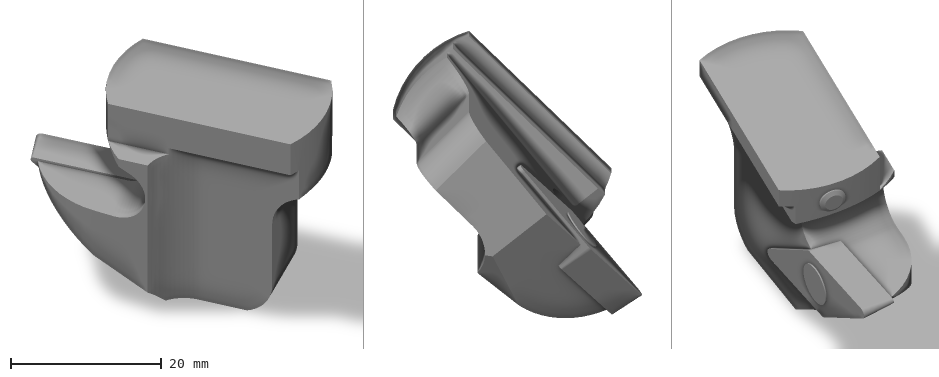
import cadquery as cq
import math

TILT = 6.5
REACH = 40.85

HEAD_RADIUS = 15.0
HEAD_BACK, HEAD_FRONT = 7.0, -7.75
STEP_Y = 4.95
STEP_Z = -3.02
UNDERSIDE_FILLET = 0.35
HEAD_FRONT_BOTTOM = -5.2
HEAD_REAR_BOTTOM = -7.07

PIN_RADIUS, PIN_TIP_RADIUS = 1.85, 1.25
PIN_Z = STEP_Z
PIN_END_X = -15.55
PIN_BEVEL = 0.35

BOTTOM = -30.7
BLADE_FRONT = -6.38
BLADE_BACK = 2.37
NOSE_FRONT = -11.0
NOSE_TOP = -6.2
NOSE_RADIUS = 11.32
NOSE_TANGENT_X = -13.65
WEB_RADIUS = 5.48
WEB_TANGENT_X = -0.7
BLADE_END_X = 9.75
BLADE_CORNER_RADIUS = 5.4
BLADE_CORNER_Z = -25.63
FLANGE_RADIUS = 5.48
FLANGE_ARC_Z = -15.3

THROAT_RADIUS = 4.1
THROAT_U, THROAT_Z = -11.75, -11.95
ROOF_ANGLE = 28.0
FLOOR_ANGLE = 4.8
FLANK_U = -6.25
FLANK_ANGLE = 40.5

BEVEL_POINTS = [(-13.7, NOSE_FRONT, -23.35), (-6.17, NOSE_FRONT, -27.55), (-4.6, -8.05, BOTTOM)]

INSERT_EDGE = 16.55
INSERT_POINT_ANGLE = 35.0
INSERT_AXIS_ANGLE = -22.6
INSERT_CENTER_U, INSERT_CENTER_Z = -12.8, -19.9
INSERT_FACE = 3.02
INSERT_THICKNESS = 4.8
INSERT_RELIEF = 5.0
INSERT_NOSE_RADIUS = 0.8
DISC_DIAMETER = 5.9
DISC_HEIGHT = 0.2


def box(x0, x1, y0, y1, z0, z1):
    """Box given by its limits."""
    return cq.Workplane("XY").box(x1 - x0, y1 - y0, z1 - z0, centered=False).translate((x0, y0, z0))


def tilted(body):
    return body.rotate((0, 0, 0), (0, 0, 1), TILT)


def sloped(angle, length):
    """Step of the given length at an angle, as a pair of components."""
    return length * math.cos(math.radians(angle)), length * math.sin(math.radians(angle))


def underside_fillet(wall, underside):
    """Concave fillet along X between a rear wall and the underside above it."""
    return (
        cq.Workplane("YZ", origin=(-REACH, 0, 0)).moveTo(wall, underside)
        .lineTo(wall + UNDERSIDE_FILLET, underside)
        .radiusArc((wall, underside - UNDERSIDE_FILLET), -UNDERSIDE_FILLET)
        .close().extrude(2 * REACH)
    )


def head():
    upper = box(-REACH, REACH, HEAD_FRONT, HEAD_BACK, STEP_Z, 0)
    front = box(-REACH, REACH, HEAD_FRONT, STEP_Y, HEAD_FRONT_BOTTOM, STEP_Z)
    rear = box(-REACH, REACH, BLADE_FRONT, STEP_Y, HEAD_REAR_BOTTOM, STEP_Z)
    bar = upper.union(front).union(rear)
    step_fillet = underside_fillet(STEP_Y, STEP_Z)
    blade_fillet = tilted(underside_fillet(BLADE_BACK, HEAD_REAR_BOTTOM))
    ends = cq.Workplane("XY").circle(HEAD_RADIUS).extrude(HEAD_REAR_BOTTOM - UNDERSIDE_FILLET)
    return bar.union(step_fillet).union(blade_fillet).intersect(ends)


def pin():
    return (
        cq.Workplane("XY").moveTo(PIN_END_X, 0).lineTo(PIN_END_X, PIN_TIP_RADIUS)
        .lineTo(PIN_END_X + PIN_BEVEL, PIN_RADIUS).lineTo(-HEAD_RADIUS / 2, PIN_RADIUS)
        .lineTo(-HEAD_RADIUS / 2, 0).close()
        .revolve(360, (0, 0, 0), (1, 0, 0)).translate((0, 0, PIN_Z))
    )


def plan_prism():
    """Blade and nose seen from above, over their full height."""
    web_y = BLADE_FRONT - WEB_RADIUS
    web_end_x = WEB_TANGENT_X - math.sqrt(WEB_RADIUS**2 - (NOSE_FRONT - web_y)**2)
    nose_left = (NOSE_TANGENT_X - NOSE_RADIUS, NOSE_FRONT + NOSE_RADIUS)
    prism = (
        cq.Workplane("XY", origin=(0, 0, BOTTOM))
        .moveTo(HEAD_RADIUS, BLADE_FRONT).lineTo(WEB_TANGENT_X, BLADE_FRONT)
        .radiusArc((web_end_x, NOSE_FRONT), -WEB_RADIUS)
        .lineTo(NOSE_TANGENT_X, NOSE_FRONT)
        .radiusArc(nose_left, NOSE_RADIUS)
        .lineTo(nose_left[0], STEP_Y).lineTo(HEAD_RADIUS, STEP_Y).close()
        .extrude(HEAD_FRONT_BOTTOM - BOTTOM)
    )
    behind = tilted(box(-REACH, REACH, BLADE_BACK, REACH, BOTTOM, 0))
    above_nose = box(-REACH, REACH, -REACH, HEAD_FRONT, NOSE_TOP, 0)
    return prism.cut(behind).cut(above_nose)


def side_prism():
    """Side outline of the blade: flange, concave arc, straight end and rounded corner."""
    corner_run = math.sqrt(BLADE_CORNER_RADIUS**2 - (BLADE_CORNER_Z - BOTTOM)**2)
    corner_end_x = BLADE_END_X - BLADE_CORNER_RADIUS + corner_run
    flange = (BLADE_END_X + FLANGE_RADIUS, FLANGE_ARC_Z + FLANGE_RADIUS)
    return (
        cq.Workplane("XZ", origin=(0, REACH, 0))
        .moveTo(-REACH, 0).lineTo(-REACH, BOTTOM).lineTo(corner_end_x, BOTTOM)
        .radiusArc((BLADE_END_X, BLADE_CORNER_Z), -BLADE_CORNER_RADIUS)
        .lineTo(BLADE_END_X, FLANGE_ARC_Z)
        .radiusArc(flange, FLANGE_RADIUS)
        .lineTo(flange[0], 0).close().extrude(2 * REACH)
    )


def outside_head_cylinder():
    """Everything above the throat axis that lies beyond the head's cylinder."""
    block = box(-REACH, REACH, -REACH, REACH, THROAT_Z, 0)
    return block.cut(cq.Workplane("XY").circle(HEAD_RADIUS).extrude(THROAT_Z))


def throat():
    """Open slot with a sloped roof, round root and gently rising floor."""
    def on_root(angle):
        du, dz = sloped(angle, THROAT_RADIUS)
        return THROAT_U + du, THROAT_Z + dz

    roof = on_root(90 - ROOF_ANGLE)
    floor = on_root(-90 - FLOOR_ANGLE)
    roof_du, roof_dz = sloped(180 - ROOF_ANGLE, REACH)
    floor_du, floor_dz = sloped(180 - FLOOR_ANGLE, REACH)
    return tilted(
        cq.Workplane("XZ", origin=(0, REACH, 0))
        .moveTo(roof[0] + roof_du, roof[1] + roof_dz).lineTo(*roof)
        .threePointArc(on_root(0), floor)
        .lineTo(floor[0] + floor_du, floor[1] + floor_dz)
        .close().extrude(2 * REACH)
    )


def flank_cut():
    """Everything below the sloping lower flank of the nose."""
    up_du, up_dz = sloped(180 - FLANK_ANGLE, REACH)
    down_du, down_dz = sloped(-FLANK_ANGLE, REACH)
    return tilted(
        cq.Workplane("XZ", origin=(0, REACH, 0))
        .moveTo(FLANK_U + up_du, BOTTOM + up_dz)
        .lineTo(FLANK_U + down_du, BOTTOM + down_dz)
        .lineTo(FLANK_U + up_du, BOTTOM + down_dz)
        .close().extrude(2 * REACH)
    )


def bevel_cut():
    """Half space below the plane through the bevel points, limited to the nose."""
    start, middle, end = [cq.Vector(*point) for point in BEVEL_POINTS]
    outward = (middle - start).cross(end - middle).multiply(-1)
    plane = cq.Plane(origin=start, xDir=middle - start, normal=outward)
    below = cq.Workplane(plane).rect(2 * REACH, 2 * REACH).extrude(REACH)
    return below.intersect(box(-REACH, WEB_TANGENT_X, -REACH, BLADE_FRONT, BOTTOM, 0))


def insert_blank():
    """Tapered rhombus with rounded corners."""
    half_angle = math.radians(INSERT_POINT_ANGLE / 2)
    half_long = INSERT_EDGE * math.cos(half_angle)
    half_short = INSERT_EDGE * math.sin(half_angle)
    corners = [(-half_long, 0), (0, -half_short), (half_long, 0), (0, half_short)]
    outline = cq.Sketch().polygon(corners + corners[:1]).vertices().fillet(INSERT_NOSE_RADIUS)
    blank = (
        cq.Workplane("XZ").placeSketch(outline)
        .extrude(INSERT_THICKNESS, taper=INSERT_RELIEF)
        .rotate((0, 0, 0), (0, 1, 0), -INSERT_AXIS_ANGLE)
    )
    return tilted(blank.translate((INSERT_CENTER_U, INSERT_FACE, INSERT_CENTER_Z)))


def insert_disc():
    """Low round disc standing on the exposed face."""
    disc = cq.Workplane("XZ").circle(DISC_DIAMETER / 2).extrude(-DISC_HEIGHT)
    return tilted(disc.translate((INSERT_CENTER_U, INSERT_FACE, INSERT_CENTER_Z)))


def make_holder():
    blade = plan_prism().intersect(side_prism()).cut(outside_head_cylinder())
    blade = blade.cut(flank_cut()).cut(bevel_cut())
    return head().union(pin()).union(blade).cut(throat()).cut(insert_blank())


def make_insert():
    return insert_blank().union(insert_disc())


holder = make_holder()
insert = make_insert()
result = cq.Compound.makeCompound([holder.solids().val(), insert.solids().val()])